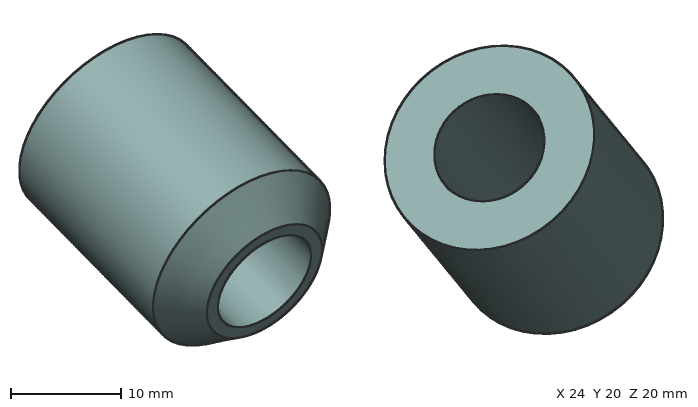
import cadquery as cq

length = 24.0
outer_diameter = 20.0
bore_diameter = 10.5
chamfer_size = 3.5


def sleeve_body():
    """Solid cylinder with its flat end at X = 0 and its chamfered end at +X."""
    cylinder = cq.Workplane("YZ").circle(outer_diameter / 2).extrude(length)
    return cylinder.faces(">X").edges().chamfer(chamfer_size)


def through_bore():
    """Cylinder that removes the concentric bore over the full length."""
    return cq.Workplane("YZ").circle(bore_diameter / 2).extrude(length)


result = sleeve_body().cut(through_bore())